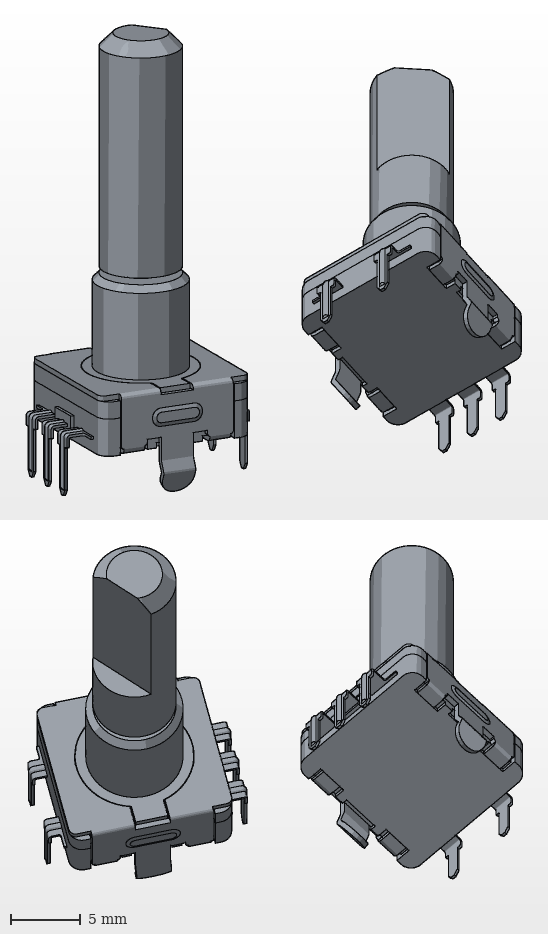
import cadquery as cq
import math


BLOCK_X = 11.68
BLOCK_Y = 12.0
BLOCK_CORNER_RADIUS = 1.0
BLOCK_TOP = 4.5
SPLIT_Z = 2.8
SHEET = 0.4
COVER_UNDERSIDE = BLOCK_TOP - SHEET
FLANGE_OUTER_X = BLOCK_X / 2
FLANGE_INNER_X = FLANGE_OUTER_X - SHEET

COVER_CORNER_RADIUS = 0.5
FLANGE_HALF_WIDTH = 4.5
FLANGE_CORNER_RADIUS = 0.2
SIDE_CLEARANCE = 0.1
ARM_HALF_WIDTH = 1.2
DISC_RADIUS = 4.25
OPENING_RADIUS = 4.3
TAB_OUTER_Y = 4.3
TAB_INNER_Y = 2.6
TAB_REACH = 1.2
NOTCH_OUTER_Y = 2.4
NOTCH_TOP = 0.9
NOTCH_FLARE_HEIGHT = 0.2
LEG_HALF_WIDTH = 1.3
LEG_TIP_RADIUS = 1.25
LEG_BEND_Z = -0.9
LEG_BEND_RADIUS = 0.1
LEG_TIP_Z = -3.43
LEG_ELBOW_X = 6.2
LEG_ANGLE = math.radians(25)
ELBOW_OUTER_RADIUS = 0.5
ELBOW_INNER_RADIUS = ELBOW_OUTER_RADIUS - SHEET
BEAD_LENGTH = 4.03
BEAD_WIDTH = 1.4
BEAD_HEIGHT = 0.1
BEAD_SLOPE_WIDTH = 0.3
BEAD_Z = 2.4

TAB_POCKET_INNER_Y = 2.2
LEG_POCKET_HALF_WIDTH = 1.5
LEG_POCKET_REACH = 0.4
BOSS_WIDTH = 2.5
BOSS_DEPTH = 0.25
BOSS_BOTTOM = 0.7
BOSS_TOP = 1.9

BUSHING_DIAMETER = 7.0
BUSHING_HEIGHT = 7.0
BUSHING_CHAMFER = 0.5
BUSHING_TOP = BLOCK_TOP + BUSHING_HEIGHT
NECK_DIAMETER = 3.0
NECK_HEIGHT = 0.5
SHAFT_DIAMETER = 6.0
SHAFT_TOP = 29.5
SHAFT_CHAMFER = 1.0
FLAT_LENGTH = 12.0
FLAT_OFFSET = 1.5
FLAT_DIRECTION = 130

TERMINAL_PITCH = 2.5
TERMINAL_SHEET = 0.2
TERMINAL_TOP = 1.2
TERMINAL_TIP_Z = -3.5
FRONT_ROW_Y = 7.5
REAR_ROW_Y = 7.0
TERMINAL_BEND_RADIUS = 0.3
HEAD_WIDTH = 1.5
HEAD_BOTTOM = 0.2
HEAD_CORNER_RADIUS = 0.13
PIN_WIDTH = 0.9
TAPER_START_Z = -3.0
TIP_WIDTH = 0.3
RIB_WIDTH = 0.5
RIB_HEIGHT = 0.115
RIB_END_Z = -3.07
RIB_SLOPE_LENGTH = 0.15
FOOT_OUTER_X = 4.32
FOOT_DEPTH = 0.2
FOOT_FILLET = 0.15


def box(x_range, y_range, z_range):
    """Box between two values along each axis."""
    (x0, x1), (y0, y1), (z0, z1) = x_range, y_range, z_range
    return cq.Workplane("XY").box(x1 - x0, y1 - y0, z1 - z0, centered=False).translate((x0, y0, z0))


def on_both_x_sides(shape):
    """The shape at +X joined with its mirror image at -X."""
    return shape.union(shape.mirror("YZ"))


def on_both_y_sides(shape):
    """The shape at +Y joined with its mirror image at -Y."""
    return shape.union(shape.mirror("XZ"))


def rounded_slab(size_x, size_y, radius, bottom, top):
    """Slab with rounded vertical edges."""
    slab = box((-size_x / 2, size_x / 2), (-size_y / 2, size_y / 2), (bottom, top))
    return slab.edges("|Z").fillet(radius)


def flange_recesses():
    """Space on both sides of the block in which the cover flanges lie."""
    half_width = FLANGE_HALF_WIDTH + SIDE_CLEARANCE
    recess = box((FLANGE_INNER_X, BLOCK_X), (-half_width, half_width), (0, BLOCK_TOP))
    return on_both_x_sides(recess)


def make_shaft():
    neck = cq.Workplane("XY", origin=(0, 0, BUSHING_TOP)).circle(NECK_DIAMETER / 2).extrude(NECK_HEIGHT)
    shaft_bottom = BUSHING_TOP + NECK_HEIGHT
    rod = cq.Workplane("XY", origin=(0, 0, shaft_bottom)).circle(SHAFT_DIAMETER / 2)
    rod = rod.extrude(SHAFT_TOP - shaft_bottom).faces(">Z").chamfer(SHAFT_CHAMFER)
    beyond_flat = box(
        (FLAT_OFFSET, SHAFT_DIAMETER),
        (-SHAFT_DIAMETER, SHAFT_DIAMETER),
        (SHAFT_TOP - FLAT_LENGTH, SHAFT_TOP),
    )
    beyond_flat = beyond_flat.rotate((0, 0, 0), (0, 0, 1), FLAT_DIRECTION)
    return rod.cut(beyond_flat).union(neck)


def make_housing():
    """Upper half of the block, with the disc and arms that fill the cover opening, and the bushing."""
    block = rounded_slab(BLOCK_X, BLOCK_Y, BLOCK_CORNER_RADIUS, SPLIT_Z, COVER_UNDERSIDE)
    block = block.cut(flange_recesses())
    disc = cq.Workplane("XY", origin=(0, 0, COVER_UNDERSIDE)).circle(DISC_RADIUS).extrude(SHEET)
    arms = box(
        (-FLANGE_INNER_X, FLANGE_INNER_X),
        (-ARM_HALF_WIDTH, ARM_HALF_WIDTH),
        (COVER_UNDERSIDE, BLOCK_TOP),
    )
    bushing = cq.Workplane("XY", origin=(0, 0, BLOCK_TOP)).circle(BUSHING_DIAMETER / 2)
    bushing = bushing.extrude(BUSHING_HEIGHT).faces(">Z").chamfer(BUSHING_CHAMFER)
    return block.union(disc).union(arms).union(bushing)


def make_base():
    """Lower half of the block, with pockets for the cover tabs and legs and a boss at the front."""
    base = rounded_slab(BLOCK_X, BLOCK_Y, BLOCK_CORNER_RADIUS, 0, SPLIT_Z)
    tab_pocket = box(
        (FLANGE_OUTER_X - TAB_REACH, FLANGE_OUTER_X),
        (TAB_POCKET_INNER_Y, FLANGE_HALF_WIDTH + SIDE_CLEARANCE),
        (0, SHEET),
    )
    leg_pocket = box(
        (FLANGE_INNER_X - LEG_POCKET_REACH, FLANGE_OUTER_X),
        (-LEG_POCKET_HALF_WIDTH, LEG_POCKET_HALF_WIDTH),
        (0, SHEET),
    )
    pockets = on_both_y_sides(tab_pocket).union(leg_pocket)
    boss = box(
        (-BOSS_WIDTH / 2, BOSS_WIDTH / 2),
        (-BLOCK_Y / 2 - BOSS_DEPTH, -BLOCK_Y / 2),
        (BOSS_BOTTOM, BOSS_TOP),
    )
    return base.cut(flange_recesses()).cut(on_both_x_sides(pockets)).union(boss)


def flange_sheet():
    """Bent sheet of the +X flange and leg, at full flange width."""
    elbow_x = LEG_ELBOW_X + ELBOW_OUTER_RADIUS * (1 / math.cos(LEG_ANGLE) - 1)
    elbow_z = LEG_BEND_Z - (elbow_x - FLANGE_OUTER_X) / math.tan(LEG_ANGLE)
    tip_x = elbow_x - (elbow_z - LEG_TIP_Z) * math.tan(LEG_ANGLE)
    inner_bend_z = LEG_BEND_Z - SHEET * math.tan(LEG_ANGLE / 2)
    inner_elbow_x = elbow_x - SHEET / math.cos(LEG_ANGLE)
    sheet = (
        cq.Workplane("XZ", origin=(0, FLANGE_HALF_WIDTH, 0))
        .moveTo(FLANGE_INNER_X, BLOCK_TOP)
        .radiusArc((FLANGE_OUTER_X, COVER_UNDERSIDE), SHEET)
        .lineTo(FLANGE_OUTER_X, LEG_BEND_Z)
        .lineTo(elbow_x, elbow_z)
        .lineTo(tip_x, LEG_TIP_Z)
        .lineTo(tip_x - SHEET * math.cos(LEG_ANGLE), LEG_TIP_Z + SHEET * math.sin(LEG_ANGLE))
        .lineTo(inner_elbow_x, elbow_z)
        .lineTo(FLANGE_INNER_X, inner_bend_z)
        .close()
        .extrude(2 * FLANGE_HALF_WIDTH)
    )
    bends = (
        (FLANGE_OUTER_X, LEG_BEND_Z, LEG_BEND_RADIUS),
        (FLANGE_INNER_X, inner_bend_z, LEG_BEND_RADIUS + SHEET),
        (elbow_x, elbow_z, ELBOW_OUTER_RADIUS),
        (inner_elbow_x, elbow_z, ELBOW_INNER_RADIUS),
    )
    for x, z, radius in bends:
        sheet = sheet.edges(cq.NearestToPointSelector((x, 0, z))).fillet(radius)
    return sheet


def flange_outline():
    """Side outline of a flange: a wide plate, two relief notches and a leg."""
    plate = box((0, BLOCK_X), (-FLANGE_HALF_WIDTH, FLANGE_HALF_WIDTH), (SHEET, BLOCK_TOP))
    plate = plate.edges("|X and <Z").fillet(FLANGE_CORNER_RADIUS)
    flare_top = SHEET + NOTCH_FLARE_HEIGHT
    notch = (
        cq.Workplane("YZ")
        .moveTo(LEG_HALF_WIDTH, SHEET)
        .lineTo(LEG_HALF_WIDTH, NOTCH_TOP)
        .lineTo(NOTCH_OUTER_Y, NOTCH_TOP)
        .lineTo(NOTCH_OUTER_Y, flare_top)
        .lineTo(TAB_INNER_Y, SHEET)
        .close()
        .extrude(BLOCK_X)
    )
    leg = box((0, BLOCK_X), (-LEG_HALF_WIDTH, LEG_HALF_WIDTH), (LEG_TIP_Z, NOTCH_TOP))
    return plate.cut(on_both_y_sides(notch)).union(leg)


def flange_bead():
    """Raised oval bead with sloping sides on the +X flange."""
    slope_angle = math.degrees(math.atan2(BEAD_SLOPE_WIDTH, BEAD_HEIGHT))
    face = cq.Workplane("YZ", origin=(FLANGE_OUTER_X, 0, BEAD_Z))
    return face.slot2D(BEAD_LENGTH, BEAD_WIDTH).extrude(BEAD_HEIGHT, taper=slope_angle)


def clenched_tab():
    """Tab bent inward under the base, at +X and +Y."""
    tab = box((FLANGE_OUTER_X - TAB_REACH, FLANGE_OUTER_X), (TAB_INNER_Y, TAB_OUTER_Y), (0, SHEET))
    bend_bounds = box((FLANGE_INNER_X, FLANGE_OUTER_X), (TAB_INNER_Y, TAB_OUTER_Y), (0, SHEET))
    bend = cq.Workplane("XZ", origin=(FLANGE_INNER_X, TAB_OUTER_Y, SHEET)).circle(SHEET)
    bend = bend.extrude(TAB_OUTER_Y - TAB_INNER_Y)
    return tab.cut(bend_bounds.cut(bend))


def make_cover():
    """Sheet metal cover: top plate with an opening, and a flange with leg and tabs on each X side."""
    top_plate = rounded_slab(2 * FLANGE_INNER_X, BLOCK_Y, COVER_CORNER_RADIUS, COVER_UNDERSIDE, BLOCK_TOP)
    flange = flange_sheet().intersect(flange_outline())
    flange = flange.faces("<Z").edges("not |Y").fillet(LEG_TIP_RADIUS)
    flange = flange.union(flange_bead()).union(on_both_y_sides(clenched_tab()))
    cover = top_plate.union(on_both_x_sides(flange))
    slot_half_width = ARM_HALF_WIDTH + SIDE_CLEARANCE
    slot = box((-BLOCK_X, BLOCK_X), (-slot_half_width, slot_half_width), (COVER_UNDERSIDE, BLOCK_TOP))
    opening = cq.Workplane("XY", origin=(0, 0, COVER_UNDERSIDE)).circle(OPENING_RADIUS).extrude(SHEET)
    return cover.cut(slot).cut(opening)


def terminal_strip(root_y, pin_y):
    """Bent strip that leaves the block toward -Y at root_y and turns down, at head width."""
    outer_y = pin_y - TERMINAL_SHEET / 2
    inner_radius = TERMINAL_BEND_RADIUS - TERMINAL_SHEET
    underside = TERMINAL_TOP - TERMINAL_SHEET
    bend_z = TERMINAL_TOP - TERMINAL_BEND_RADIUS
    bend_y = outer_y + TERMINAL_BEND_RADIUS
    return (
        cq.Workplane("YZ", origin=(-HEAD_WIDTH / 2, 0, 0))
        .moveTo(root_y, TERMINAL_TOP)
        .lineTo(bend_y, TERMINAL_TOP)
        .radiusArc((outer_y, bend_z), -TERMINAL_BEND_RADIUS)
        .lineTo(outer_y, TERMINAL_TIP_Z)
        .lineTo(outer_y + TERMINAL_SHEET, TERMINAL_TIP_Z)
        .lineTo(outer_y + TERMINAL_SHEET, bend_z)
        .radiusArc((bend_y, underside), inner_radius)
        .lineTo(root_y, underside)
        .close()
        .extrude(HEAD_WIDTH)
    )


def terminal_outline():
    """Front outline of a terminal: a wide head above a narrow pin with a tapered tip."""
    reach = BLOCK_Y
    head = box((-HEAD_WIDTH / 2, HEAD_WIDTH / 2), (-reach, reach), (HEAD_BOTTOM, TERMINAL_TOP))
    head = head.edges("|Y and <Z").fillet(HEAD_CORNER_RADIUS)
    pin = (
        cq.Workplane("XZ", origin=(0, reach, 0))
        .moveTo(-PIN_WIDTH / 2, TERMINAL_TOP)
        .lineTo(-PIN_WIDTH / 2, TAPER_START_Z)
        .lineTo(-TIP_WIDTH / 2, TERMINAL_TIP_Z)
        .lineTo(TIP_WIDTH / 2, TERMINAL_TIP_Z)
        .lineTo(PIN_WIDTH / 2, TAPER_START_Z)
        .lineTo(PIN_WIDTH / 2, TERMINAL_TOP)
        .close()
        .extrude(2 * reach)
    )
    return head.union(pin)


def terminal_rib(root_y, pin_y):
    """Rounded stiffening rib along the outer face of a terminal, with a sloping lower end."""
    outer_y = pin_y - TERMINAL_SHEET / 2
    path = (
        cq.Workplane("YZ")
        .moveTo(root_y, TERMINAL_TOP)
        .lineTo(outer_y + TERMINAL_BEND_RADIUS, TERMINAL_TOP)
        .radiusArc((outer_y, TERMINAL_TOP - TERMINAL_BEND_RADIUS), -TERMINAL_BEND_RADIUS)
        .lineTo(outer_y, RIB_END_Z)
    )
    rib = (
        cq.Workplane("XZ", origin=(0, root_y, 0))
        .moveTo(-RIB_WIDTH / 2, TERMINAL_TOP)
        .threePointArc((0, TERMINAL_TOP + RIB_HEIGHT), (RIB_WIDTH / 2, TERMINAL_TOP))
        .close()
        .sweep(path)
    )
    end_slope = (
        cq.Workplane("YZ", origin=(-RIB_WIDTH / 2, 0, 0))
        .moveTo(outer_y, RIB_END_Z)
        .lineTo(outer_y - RIB_HEIGHT, RIB_END_Z + RIB_SLOPE_LENGTH)
        .lineTo(outer_y - RIB_HEIGHT, RIB_END_Z)
        .close()
        .extrude(RIB_WIDTH)
    )
    return rib.cut(end_slope)


def terminal_foot(root_y):
    """Side foot against the block, filleted into the +X edge of the strip."""
    front_y = root_y - FOOT_DEPTH
    edge_x = HEAD_WIDTH / 2
    return (
        cq.Workplane("XY", origin=(0, 0, TERMINAL_TOP - TERMINAL_SHEET))
        .moveTo(edge_x, root_y)
        .lineTo(FOOT_OUTER_X - TERMINAL_PITCH, root_y)
        .lineTo(FOOT_OUTER_X - TERMINAL_PITCH, front_y)
        .lineTo(edge_x + FOOT_FILLET, front_y)
        .radiusArc((edge_x, front_y - FOOT_FILLET), -FOOT_FILLET)
        .close()
        .extrude(TERMINAL_SHEET)
    )


def make_terminal(root_distance, pin_distance):
    """Terminal centred on X = 0, pointing to -Y."""
    strip = terminal_strip(-root_distance, -pin_distance).intersect(terminal_outline())
    return strip.union(terminal_rib(-root_distance, -pin_distance))


def make_outer_terminal(pin_distance):
    """Terminal in its place right of the middle of a row, with a side foot."""
    terminal = make_terminal(BLOCK_Y / 2, pin_distance).union(terminal_foot(-BLOCK_Y / 2))
    return terminal.translate((TERMINAL_PITCH, 0, 0))


shaft = make_shaft()
housing = make_housing()
base = make_base()
cover = make_cover()

terminals = [make_terminal(BLOCK_Y / 2 + BOSS_DEPTH, FRONT_ROW_Y)]
for right_terminal in (
    make_outer_terminal(FRONT_ROW_Y),
    make_outer_terminal(REAR_ROW_Y).mirror("XZ"),
):
    terminals.append(right_terminal)
    terminals.append(right_terminal.mirror("YZ"))

result = cq.Compound.makeCompound(
    [shaft.val(), housing.val(), base.val(), cover.val(), *[terminal.val() for terminal in terminals]]
)